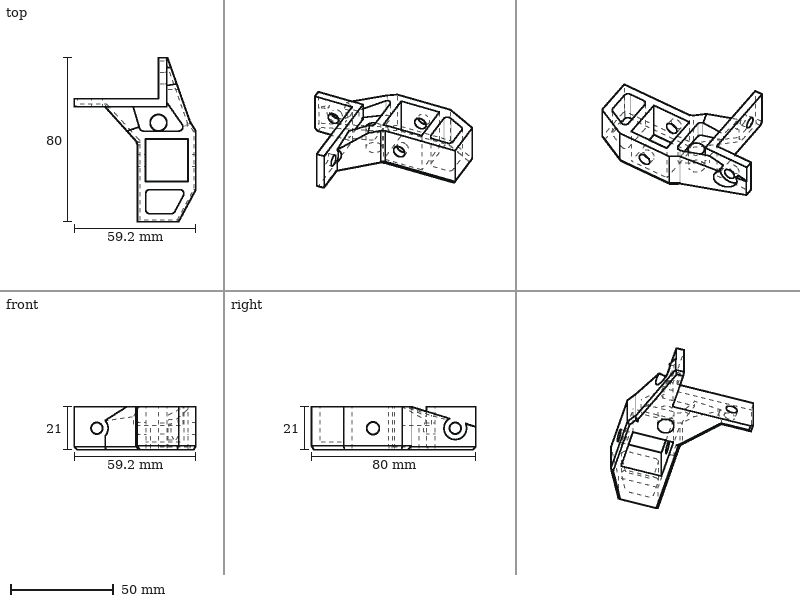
import cadquery as cq
import math

height = 21.0
mid_height = height / 2
wall = 4.0
tube_size = 20.5
corner_radius = 2.0
through = 200.0

block_half = tube_size / 2 + wall
block_front = -30.0
nose_width = 8.5
block_chamfer_height = 2.0
block_chamfer_angle = 30.0
clamp_hole_diameter = 6.0
front_pocket_floor = wall

plate_left = -45.0
plate_back = 50.0
plate_front = 26.0
plate_hole_diameter = 5.5
plate_hole_x = -34.0
plate_hole_y = 40.0
washer_diameter = 11.0

bracket_chamfer = 1.5
bracket_chamfer_angle = 45.0
left_gusset_tip = (-30.0, plate_front)
left_bend = (-15.0, 9.4)
left_bend_end = 7.5
right_shoulder = (11.45, 18.6)
right_gusset_tip = (0.4, plate_back)
root_half_width = 10.0
root_y = 5.0

recess_floor = 12.0
recess_front = block_half
recess_left_back = -16.3
recess_left_front = -12.8
recess_right_front = 9.75
recess_right_back = 28.2
drain_diameter = 8.0
drain_x = -4.0

left_hinge_start = (-19.35, 14.25)
left_hinge_end = (-13.4, 16.2)
left_slope = 25.0
right_hinge_end = (7.5, 16.1)
right_slope = 16.7


def chamfered_prism(outline, chamfer_height, angle):
    """Full-height prism whose bottom edge is drawn in by the angle over the chamfer height."""
    upper = (
        cq.Workplane("XY").workplane(offset=chamfer_height)
        .polyline(outline).close().extrude(height - chamfer_height)
    )
    lower = (
        cq.Workplane("XY").workplane(offset=chamfer_height)
        .polyline(outline).close().extrude(-chamfer_height, taper=angle)
    )
    return upper.union(lower)


def make_block():
    outline = [
        (-block_half, block_front),
        (block_half - nose_width, block_front),
        (block_half, -block_half),
        (block_half, block_half),
        right_shoulder,
        left_bend,
        (-block_half, left_bend_end),
    ]
    return chamfered_prism(outline, block_chamfer_height, block_chamfer_angle)


def make_bracket():
    """Long leg, short leg and both gussets; the corner inside the L is cut away afterwards."""
    outline = [
        (plate_left, plate_front),
        left_gusset_tip,
        left_bend,
        (-root_half_width, root_y),
        (root_half_width, root_y),
        right_shoulder,
        right_gusset_tip,
        (plate_left, plate_back),
    ]
    bracket = chamfered_prism(outline, bracket_chamfer, bracket_chamfer_angle)
    inside_corner = (
        cq.Workplane("XY").center(-wall, plate_front + wall)
        .rect(-through, through, centered=False).extrude(height)
    )
    return bracket.cut(inside_corner)


def slope_cutter(start, end, angle):
    """Wedge above a plane that falls away from the hinge line to the left of start -> end."""
    along = cq.Vector(end[0] - start[0], end[1] - start[1], 0)
    outward = cq.Vector(-along.y, along.x, 0)
    hinge = cq.Plane(origin=(start[0], start[1], height), xDir=outward, normal=along)
    drop = through * math.tan(math.radians(angle))
    return (
        cq.Workplane(hinge)
        .polyline([(0, 0), (through, 0), (through, -drop)]).close()
        .extrude(through, both=True)
    )


def plate_zone():
    """The L-shaped plate as a plain block of material, kept clear of the gusset cuts."""
    long_leg = (
        cq.Workplane("XY").center(plate_left, plate_front)
        .rect(-plate_left, wall, centered=False).extrude(height)
    )
    short_leg = (
        cq.Workplane("XY").center(-wall, plate_front)
        .rect(wall, plate_back - plate_front, centered=False).extrude(height)
    )
    return long_leg.union(short_leg)


def gusset_cuts():
    """Sloping gusset tops and washer clearances, all stopping at the plate."""
    behind_block = cq.Workplane("XY").center(0, recess_front)
    left_side = behind_block.rect(-through, through, centered=False).extrude(height)
    right_side = behind_block.rect(through, through, centered=False).extrude(height)
    left_top = slope_cutter(left_hinge_start, left_hinge_end, left_slope).intersect(left_side)
    right_top = slope_cutter(right_hinge_end, right_shoulder, right_slope).intersect(right_side)
    left_washer = (
        cq.Workplane("XZ", origin=(plate_hole_x, plate_front, mid_height))
        .circle(washer_diameter / 2).extrude(through)
    )
    right_washer = (
        cq.Workplane("YZ", origin=(0, plate_hole_y, mid_height))
        .circle(washer_diameter / 2).extrude(through)
    )
    cuts = left_top.union(right_top).union(left_washer).union(right_washer)
    return cuts.cut(plate_zone())


def recess():
    outline = [
        (recess_left_back, plate_front),
        (recess_left_front, recess_front),
        (recess_right_front, recess_front),
        (0, recess_right_back),
        (0, plate_front),
    ]
    pocket = (
        cq.Workplane("XY").workplane(offset=recess_floor)
        .polyline(outline).close().extrude(height)
    )
    pocket = pocket.faces("<Y").edges("|Z").fillet(corner_radius)
    drain = (
        cq.Workplane("XY").center(drain_x, recess_front + drain_diameter / 2)
        .circle(drain_diameter / 2).extrude(height)
    )
    return pocket.union(drain)


def front_pocket():
    """Blind pocket leaving an even wall around it in the nose of the block."""
    slant_run = nose_width / (-block_front - block_half)
    back = -tube_size / 2
    outline = [
        (-block_half, block_front),
        (block_half - nose_width, block_front),
        (block_half - nose_width + slant_run * (back - block_front), back),
        (-block_half, back),
    ]
    pocket = (
        cq.Workplane("XY").workplane(offset=front_pocket_floor)
        .polyline(outline).close().offset2D(-wall).extrude(height)
    )
    return pocket.edges("|Z").fillet(corner_radius)


def tube_socket():
    socket = cq.Workplane("XY").rect(tube_size, tube_size).extrude(height)
    clamp_hole = (
        cq.Workplane("YZ", origin=(0, 0, mid_height))
        .circle(clamp_hole_diameter / 2).extrude(through, both=True)
    )
    return socket.union(clamp_hole)


def plate_holes():
    long_leg_hole = (
        cq.Workplane("XZ", origin=(plate_hole_x, plate_front + wall, mid_height))
        .circle(plate_hole_diameter / 2).extrude(wall)
    )
    short_leg_hole = (
        cq.Workplane("YZ", origin=(-wall, plate_hole_y, mid_height))
        .circle(plate_hole_diameter / 2).extrude(wall)
    )
    return long_leg_hole.union(short_leg_hole)


mount = (
    make_block()
    .union(make_bracket())
    .cut(gusset_cuts())
    .cut(recess())
    .cut(front_pocket())
    .cut(tube_socket())
    .cut(plate_holes())
)

result = cq.Compound.makeCompound([mount.val()])